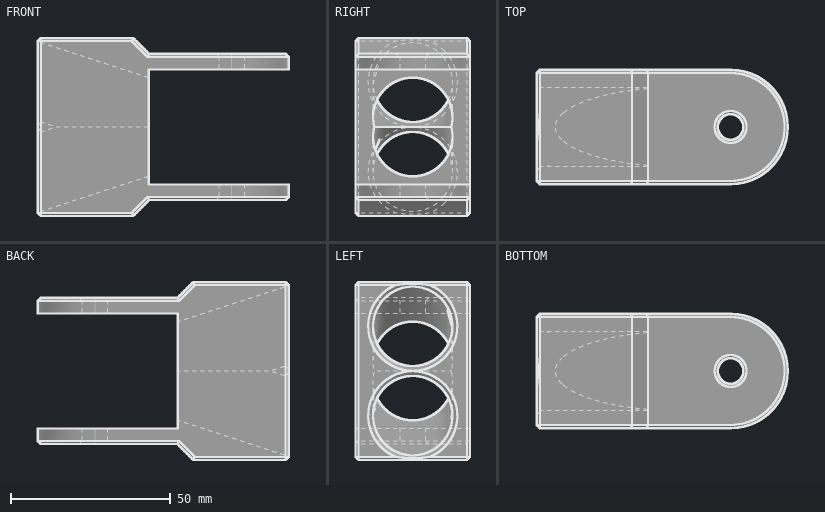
import cadquery as cq

length = 79.0
width = 36.0
height = 56.0

body_length = 35.0
shoulder = 5.0
arm_thickness = 5.0
edge_chamfer = 1.0

pivot_x = length - width / 2
pivot_diameter = 8.0

bore_diameter = 25.0
mouth_diameter = 28.05
mouth_depth = 1.0
entry_offset = 14.1
exit_offset = 3.0
overrun = 0.8

middle_z = height / 2
arm_gap = height - 2 * (shoulder + arm_thickness)


def make_blank():
    """Stepped side profile with a rounded tip, chamfered along its outer edges."""
    blank = (
        cq.Workplane("XZ")
        .moveTo(0, 0)
        .lineTo(body_length - shoulder, 0)
        .lineTo(body_length, shoulder)
        .lineTo(length, shoulder)
        .lineTo(length, height - shoulder)
        .lineTo(body_length, height - shoulder)
        .lineTo(body_length - shoulder, height)
        .lineTo(0, height)
        .close()
        .extrude(width / 2, both=True)
    )
    plan = (
        cq.Workplane("XY")
        .moveTo(0, -width / 2)
        .lineTo(pivot_x, -width / 2)
        .threePointArc((length, 0), (pivot_x, width / 2))
        .lineTo(0, width / 2)
        .close()
        .extrude(height)
    )
    blank = blank.intersect(plan)
    front_edges = blank.faces("<X").edges()
    outer_edges = blank.edges("not(|Y or |Z)")
    return outer_edges.add(front_edges).chamfer(edge_chamfer)


def make_fork_gap():
    """Space between the two arms, open at the tip."""
    gap_length = length - body_length
    return cq.Workplane("XY").box(gap_length, width, arm_gap, centered=(False, True, True)).translate(
        (body_length, 0, middle_z)
    )


def cone(point, direction, start_radius, end_radius, depth):
    return cq.Workplane(
        obj=cq.Solid.makeCone(start_radius, end_radius, depth, cq.Vector(*point), cq.Vector(*direction))
    )


def make_pivot_hole():
    """Hole through both arms, countersunk on the two outer faces."""
    radius = pivot_diameter / 2
    hole = cq.Workplane("XY").center(pivot_x, 0).circle(radius).extrude(height)
    for z, inward in ((shoulder, 1), (height - shoulder, -1)):
        point = (pivot_x, 0, z)
        hole = hole.union(cone(point, (0, 0, inward), radius + edge_chamfer, radius, edge_chamfer))
    return hole


def cut_bore(part, side):
    """Cut a slanted bore with a flared mouth; side is 1 for the upper bore, -1 for the lower."""
    entry_z = middle_z + side * entry_offset
    exit_z = middle_z + side * exit_offset
    radius = bore_diameter / 2
    bore_length = body_length - mouth_depth
    stretch = (bore_length + overrun) / bore_length
    bore = (
        cq.Workplane("YZ", origin=(mouth_depth, 0, entry_z))
        .circle(radius)
        .workplane(offset=stretch * bore_length)
        .center(0, stretch * (exit_z - entry_z))
        .circle(radius)
        .loft(ruled=True)
    )
    mouth = cone((0, 0, entry_z), (1, 0, 0), mouth_diameter / 2, radius, mouth_depth)
    return part.cut(mouth).cut(bore)


result = make_blank().cut(make_fork_gap()).cut(make_pivot_hole())
for side in (1, -1):
    result = cut_bore(result, side)